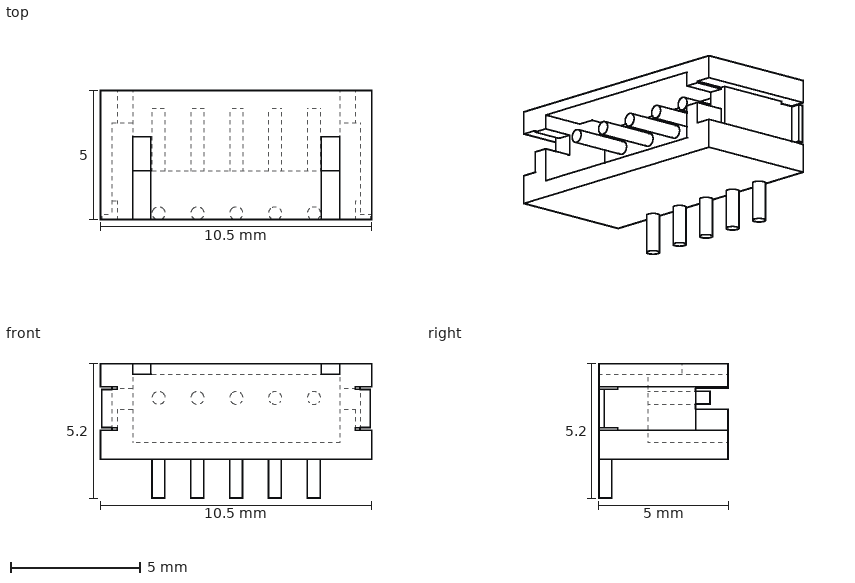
import cadquery as cq

width = 10.5
depth = 5.0
height = 3.7

cavity_inset = 1.25
cavity_front = 1.89
cavity_floor = 0.65
cavity_top = 3.3

recess_bottom = 1.12
recess_top = 2.8
panel_inset = 0.45
rear_inset = 0.65
window_length = 1.26
window_bottom = 1.94
window_top = 2.74

tab_inset = 0.05
tab_thickness = 0.2
groove_length = 0.74
groove_height = 0.1

slot_width = 0.7
slot_length = 3.2
slot_inset = cavity_inset

pin_count = 5
pin_pitch = 1.5
pin_diameter = 0.5
leg_length = 1.5
contact_height = 2.38
contact_tip = 4.29


def block(x_min, x_max, y_min, y_max, z_min, z_max):
    size = (x_max - x_min, y_max - y_min, z_max - z_min)
    return cq.Workplane("XY").box(*size, centered=False).translate((x_min, y_min, z_min))


def end_recess():
    """Material removed from the -X end of the housing."""
    outer = -width / 2
    panel_face = outer + panel_inset
    rear_face = outer + rear_inset
    cavity_wall = outer + cavity_inset
    window_front = depth - window_length

    recess = block(outer, panel_face, tab_thickness, depth, recess_bottom, recess_top)
    recess = recess.union(block(outer, rear_face, window_front, depth, recess_bottom, recess_top))
    recess = recess.union(block(outer, cavity_wall, window_front, depth, window_bottom, window_top))
    recess = recess.union(block(outer, outer + tab_inset, 0, tab_thickness, recess_bottom, recess_top))
    for groove_bottom in (recess_bottom, recess_top - groove_height):
        groove_top = groove_bottom + groove_height
        recess = recess.union(block(outer, rear_face, 0, groove_length, groove_bottom, groove_top))
    return recess


def top_slot():
    """Slot near the -X end, as deep as the wall above the cavity."""
    x_min = -width / 2 + slot_inset
    return block(x_min, x_min + slot_width, 0, slot_length, cavity_top, height)


def housing():
    body = block(-width / 2, width / 2, 0, depth, 0, height)
    cavity_half_width = width / 2 - cavity_inset
    body = body.cut(
        block(-cavity_half_width, cavity_half_width, cavity_front, depth, cavity_floor, cavity_top)
    )
    for cutter in (end_recess(), top_slot()):
        body = body.cut(cutter).cut(cutter.mirror("YZ"))
    return body


def contact(x):
    """Horizontal contact in the cavity and a vertical leg flush with the front face."""
    radius = pin_diameter / 2
    horizontal = (
        cq.Workplane("XZ", origin=(x, cavity_front / 2, contact_height))
        .circle(radius)
        .extrude(cavity_front / 2 - contact_tip)
    )
    leg = (
        cq.Workplane("XY", origin=(x, radius, -leg_length))
        .circle(radius)
        .extrude(leg_length + cavity_floor)
    )
    return horizontal.union(leg)


result = housing()
for index in range(pin_count):
    result = result.union(contact((index - (pin_count - 1) / 2) * pin_pitch))